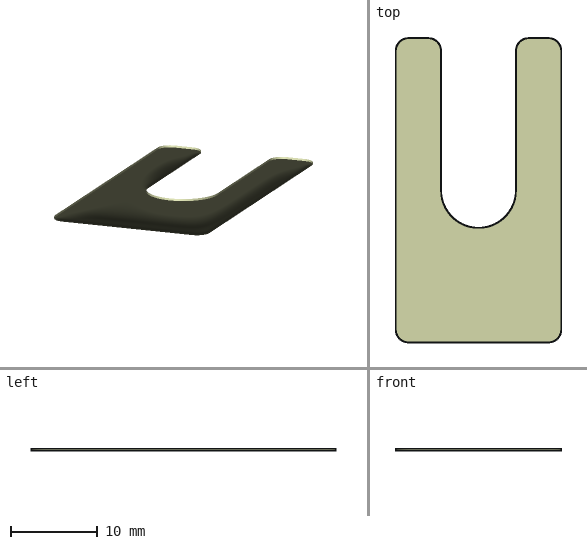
import cadquery as cq

length = 35.05
width = 19.05
thickness = 0.25
corner_radius = 1.5
slot_width = 8.6
slot_depth = 21.85

slot_radius = slot_width / 2
open_end_y = length / 2
slot_centre_y = open_end_y - slot_depth + slot_radius


def make_plate():
    return cq.Workplane("XY").rect(width, length).extrude(thickness)


def make_slot():
    """Straight-sided slot with a round bottom, open at the +Y end."""
    return (
        cq.Workplane("XY")
        .moveTo(-slot_radius, open_end_y)
        .lineTo(-slot_radius, slot_centre_y)
        .threePointArc((0, slot_centre_y - slot_radius), (slot_radius, slot_centre_y))
        .lineTo(slot_radius, open_end_y)
        .close()
        .extrude(thickness)
    )


slotted_plate = make_plate().cut(make_slot())
end_corners = slotted_plate.faces("<Y or >Y").edges("|Z")
result = end_corners.fillet(corner_radius)